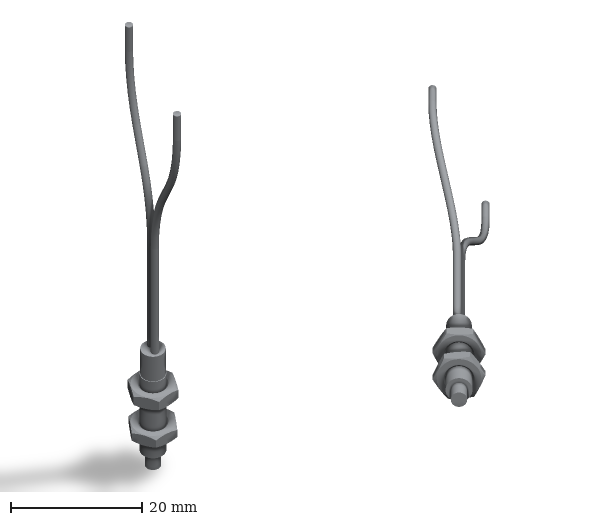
import cadquery as cq
import math

TIP_DIAMETER = 2.5
TIP_LENGTH = 3.1
BARREL_DIAMETER = 4.1
BARREL_TOP = 18.75
SLEEVE_DIAMETER = 3.9
SLEEVE_TOP = 23.8

NUT_ACROSS_FLATS = 7.0
NUT_CHAMFER_ANGLE = 30.0
NUT_FACE_DIAMETER = 6.8
NUT_COUNTERSINK_DIAMETER = 4.7
NUT_COUNTERSINK_DEPTH = 0.3
LOWER_NUT_BOTTOM = 6.7
LOWER_NUT_THICKNESS = 2.2
LOWER_NUT_TURN = -13.0
UPPER_NUT_BOTTOM = 14.3
UPPER_NUT_THICKNESS = 2.4
UPPER_NUT_TURN = -6.5

FIBRE_DIAMETER = 1.25
PAIR_SPACING = 1.65
TOTAL_HEIGHT = 80.92
TOTAL_WIDTH = 22.85
BEND_RADIUS = 25.0
BEND_ANGLE = math.radians(30.0)
ARM_END_LENGTH = 5.0

bend_rise = BEND_RADIUS * math.sin(BEND_ANGLE)
bend_shift = BEND_RADIUS * (1 - math.cos(BEND_ANGLE))
arm_start_x = PAIR_SPACING / 2
arm_end_x = (TOTAL_WIDTH - FIBRE_DIAMETER) / 2
slant_shift = arm_end_x - arm_start_x - 2 * bend_shift
slant_rise = slant_shift / math.tan(BEND_ANGLE)
arm_start_z = TOTAL_HEIGHT - ARM_END_LENGTH - 2 * bend_rise - slant_rise


def cylinder(diameter, bottom, top, x=0.0):
    """Upright round bar between two heights."""
    return cq.Workplane("XY", origin=(x, 0, bottom)).circle(diameter / 2).extrude(top - bottom)


def hex_nut(bottom, thickness, turn):
    """Hex nut with chamfered corners and a countersunk bore, turned about Z."""
    corner_radius = NUT_ACROSS_FLATS / math.sqrt(3)
    face_radius = NUT_FACE_DIAMETER / 2
    chamfer_height = (corner_radius - face_radius) * math.tan(math.radians(NUT_CHAMFER_ANGLE))
    bore_radius = BARREL_DIAMETER / 2
    sink_radius = NUT_COUNTERSINK_DIAMETER / 2
    hexagon = cq.Workplane("XY").polygon(6, 2 * corner_radius).extrude(thickness)
    turned_blank = (
        cq.Workplane("XZ")
        .moveTo(bore_radius, NUT_COUNTERSINK_DEPTH)
        .lineTo(sink_radius, 0)
        .lineTo(face_radius, 0)
        .lineTo(corner_radius, chamfer_height)
        .lineTo(corner_radius, thickness - chamfer_height)
        .lineTo(face_radius, thickness)
        .lineTo(sink_radius, thickness)
        .lineTo(bore_radius, thickness - NUT_COUNTERSINK_DEPTH)
        .close()
        .revolve(360, (0, 0, 0), (0, 1, 0))
    )
    nut = hexagon.intersect(turned_blank)
    return nut.rotate((0, 0, 0), (0, 0, 1), turn).translate((0, 0, bottom))


def arm(side):
    """Fibre arm swept along an S-bend; side is +1 toward +X and -1 toward -X."""

    def bend_point(angle):
        x = arm_start_x + BEND_RADIUS * (1 - math.cos(angle))
        return side * x, arm_start_z + BEND_RADIUS * math.sin(angle)

    def return_point(angle):
        x = arm_end_x - BEND_RADIUS * (1 - math.cos(angle))
        return side * x, TOTAL_HEIGHT - ARM_END_LENGTH - BEND_RADIUS * math.sin(angle)

    path = (
        cq.Workplane("XZ")
        .moveTo(*bend_point(0))
        .threePointArc(bend_point(BEND_ANGLE / 2), bend_point(BEND_ANGLE))
        .lineTo(*return_point(BEND_ANGLE))
        .threePointArc(return_point(BEND_ANGLE / 2), return_point(0))
        .lineTo(side * arm_end_x, TOTAL_HEIGHT)
    )
    start = cq.Workplane("XY", origin=(side * arm_start_x, 0, arm_start_z))
    return start.circle(FIBRE_DIAMETER / 2).sweep(path)


result = cylinder(TIP_DIAMETER, 0, TIP_LENGTH)
result = result.union(cylinder(BARREL_DIAMETER, TIP_LENGTH, BARREL_TOP))
result = result.union(cylinder(SLEEVE_DIAMETER, BARREL_TOP, SLEEVE_TOP))
result = result.union(hex_nut(LOWER_NUT_BOTTOM, LOWER_NUT_THICKNESS, LOWER_NUT_TURN))
result = result.union(hex_nut(UPPER_NUT_BOTTOM, UPPER_NUT_THICKNESS, UPPER_NUT_TURN))
for side in (-1, 1):
    result = result.union(cylinder(FIBRE_DIAMETER, SLEEVE_TOP, arm_start_z, side * arm_start_x))
    result = result.union(arm(side))